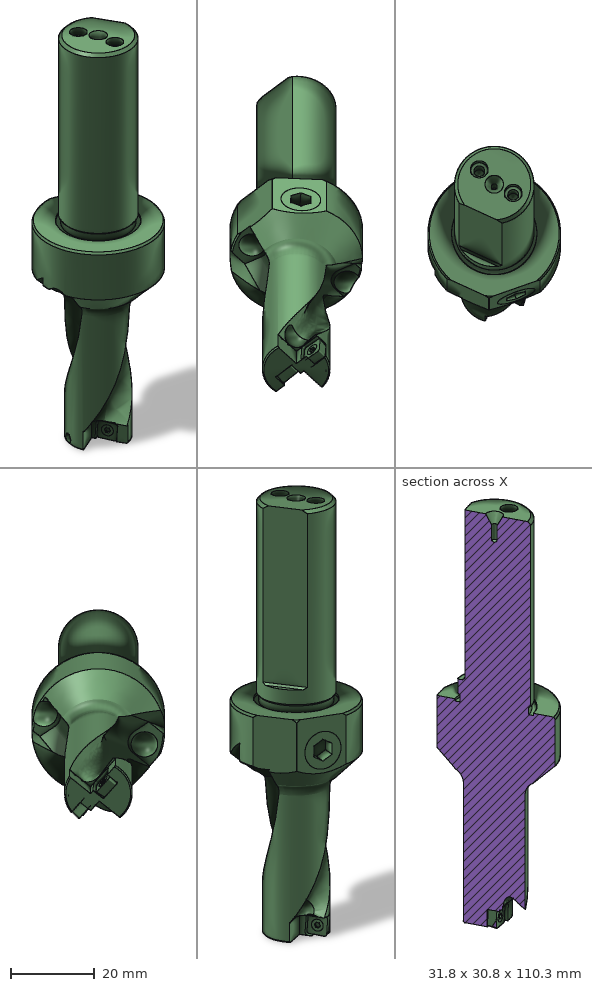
import cadquery as cq
import math

TIP_Z = 0.35
FLUTE_START_Z = 5.5
FLUTE_END_Z = 38.7
CONE_BOTTOM_Z = 40.8
COLLAR_BOTTOM_Z = 46.6
COLLAR_TOP_Z = 59.6
GROOVE_TOP_Z = 61.3
FLAT_BOTTOM_Z = 65.0
RUNOUT_TOP_Z = 46.2
SHANK_TOP_Z = 110.34

DRILL_RADIUS = 8.1
COLLAR_RADIUS = 31.75 / 2
SHANK_RADIUS = 19.05 / 2
GROOVE_RADIUS = 9.0
CONE_FOOT_RADIUS = COLLAR_RADIUS - (COLLAR_BOTTOM_Z - CONE_BOTTOM_Z)
NECK_BLEND_HEIGHT = 3.1
BLEND_MID_WIDTH_SHARE = 0.3
BLEND_MID_HEIGHT_SHARE = 0.6
TIP_CHAMFER = 0.35
SHANK_CHAMFER = 0.8
GROOVE_CHAMFER = 0.5
RECESS_RADIUS = 10.2
RECESS_DEPTH = 0.6
COLLAR_CHAMFER_WIDTH = 0.35
COLLAR_CHAMFER_HEIGHT = 0.65

SHANK_FLAT_Y = 7.65
SHANK_FLAT_RAMP = 0.55
COLLAR_FLAT_Y = 14.875
SLANT_FLAT_OFFSET = 14.5

SEAT_OFFSET = 1.4
OUTER_BACK_OFFSET = 1.3
INNER_BACK_OFFSET = -1.2
FLUTE_CORNER_RADIUS = 3.4
FLUTE_CORNER_ANGLE = 105.0
FLUTE_TWIST = 94.0
TWIST_LINEAR_SHARE = 0.17
TWIST_SECTIONS = 9
FLUTE_BALL_RADIUS = 3.0
FLUTE_BALL_CENTRE = (-3.6, 3.7, 7.6)
RUNOUT_BALL_Z = 45.0
RUNOUT_BALL_X = -4.8
RUNOUT_BALL_REACH = 11.6
RUNOUT_SIDE_X = -9.8
RUNOUT_SIDE_DROP = 1.2
CUTTER_REACH = 20.0

INSERT_SIZE = 5.0
INSERT_THICKNESS = 2.4
INSERT_CORNER_RADIUS = 0.6
POCKET_CLEARANCE = 0.2
INSERT_CLEARANCE_ANGLE = 7.0
INSERT_TILT = 4.0
INSERT_FACE_DEPTH = 0.8
INNER_INSERT = (2.5, 0.0)
OUTER_INSERT = (5.6, TIP_Z)
SCREW_HEAD_RADIUS = 1.5
SCREW_SHANK_RADIUS = 0.9
SCREW_HEAD_HEIGHT = 1.1
SCREW_LENGTH = 4.2
SCREW_SOCKET_SIZE = 1.3
SCREW_SOCKET_DEPTH = 0.6

PLUG_RADIUS = 9.5 / 2
PLUG_LENGTH = 5.0
PLUG_Y = 10.0
PLUG_Z = 51.0
PLUG_HEX_SIZE = 4.76
PLUG_HEX_DEPTH = 3.7

COOLANT_HOLES = [(-5.0, 0.0), (4.8, -1.8)]
COOLANT_BORE_RADIUS = 2.1
COOLANT_BORE_DEPTH = 2.0
COOLANT_PILOT_RADIUS = 1.3
COOLANT_PILOT_DEPTH = 4.0
CENTRE_RADIUS = 2.2
CENTRE_PILOT_RADIUS = 0.7
CENTRE_PILOT_DEPTH = 3.0
SIDE_HOLE_RADIUS = 1.2
SIDE_HOLE_DEPTH = 1.0
SIDE_HOLE_Z = 1.8
DRILL_POINT_SLOPE = math.tan(math.radians(30))

HEX_CORNER_FACTOR = 2 / math.sqrt(3)


def hex_prism(plane, across_flats, depth):
    """Hexagonal prism sunk below the plane."""
    return cq.Workplane(plane).polygon(6, across_flats * HEX_CORNER_FACTOR).extrude(-depth)


def pointed_hole(plane, radius, depth):
    """Drilled hole below the plane with a conical bottom."""
    point_depth = depth + radius * DRILL_POINT_SLOPE
    outline = cq.Workplane("XZ").polyline([(0, 0), (radius, 0), (radius, -depth), (0, -point_depth)])
    return outline.close().revolve(360, (0, 0), (0, 1)).val().moved(plane.location)


def turned_blank():
    blend_bottom_z = CONE_BOTTOM_Z - NECK_BLEND_HEIGHT
    blend_mid = (DRILL_RADIUS + BLEND_MID_WIDTH_SHARE * (CONE_FOOT_RADIUS - DRILL_RADIUS),
                 blend_bottom_z + BLEND_MID_HEIGHT_SHARE * NECK_BLEND_HEIGHT)
    return (
        cq.Workplane("XZ")
        .moveTo(0, TIP_Z)
        .lineTo(DRILL_RADIUS - TIP_CHAMFER, TIP_Z)
        .lineTo(DRILL_RADIUS, TIP_Z + TIP_CHAMFER)
        .lineTo(DRILL_RADIUS, blend_bottom_z)
        .threePointArc(blend_mid, (CONE_FOOT_RADIUS, CONE_BOTTOM_Z))
        .lineTo(COLLAR_RADIUS, COLLAR_BOTTOM_Z)
        .lineTo(COLLAR_RADIUS, COLLAR_TOP_Z - COLLAR_CHAMFER_HEIGHT)
        .lineTo(COLLAR_RADIUS - COLLAR_CHAMFER_WIDTH, COLLAR_TOP_Z)
        .lineTo(RECESS_RADIUS, COLLAR_TOP_Z)
        .lineTo(RECESS_RADIUS, COLLAR_TOP_Z - RECESS_DEPTH)
        .lineTo(GROOVE_RADIUS, COLLAR_TOP_Z - RECESS_DEPTH)
        .lineTo(GROOVE_RADIUS, GROOVE_TOP_Z - GROOVE_CHAMFER)
        .lineTo(SHANK_RADIUS, GROOVE_TOP_Z)
        .lineTo(SHANK_RADIUS, SHANK_TOP_Z - SHANK_CHAMFER)
        .lineTo(SHANK_RADIUS - SHANK_CHAMFER, SHANK_TOP_Z)
        .lineTo(0, SHANK_TOP_Z)
        .close()
        .revolve(360, (0, 0), (0, 1))
    )


def beyond_plane(offset):
    """Block filling y > offset up to the collar top."""
    return (cq.Workplane("XY").moveTo(0, offset + CUTTER_REACH / 2)
            .rect(3 * CUTTER_REACH, CUTTER_REACH).extrude(COLLAR_TOP_Z))


def cut_flats(body):
    shank_flat = (
        cq.Workplane("YZ", origin=(-CUTTER_REACH, 0, 0))
        .moveTo(SHANK_FLAT_Y, SHANK_TOP_Z)
        .lineTo(SHANK_FLAT_Y, FLAT_BOTTOM_Z + SHANK_FLAT_RAMP)
        .lineTo(SHANK_FLAT_Y + SHANK_FLAT_RAMP, FLAT_BOTTOM_Z)
        .lineTo(CUTTER_REACH, FLAT_BOTTOM_Z)
        .lineTo(CUTTER_REACH, SHANK_TOP_Z)
        .close()
        .extrude(2 * CUTTER_REACH)
    )
    collar_flat = beyond_plane(COLLAR_FLAT_Y)
    slant_flat = beyond_plane(SLANT_FLAT_OFFSET).rotate((0, 0, 0), (0, 0, 1), 45)
    return body.cut(shank_flat).cut(collar_flat).cut(slant_flat)


def flute_outline(back):
    """Open quadrant x < -seat, y < -back with a rounded inner corner."""
    centre = (-SEAT_OFFSET - FLUTE_CORNER_RADIUS, -back - FLUTE_CORNER_RADIUS)

    def corner_point(degrees):
        angle = math.radians(degrees)
        return (centre[0] + FLUTE_CORNER_RADIUS * math.cos(angle),
                centre[1] + FLUTE_CORNER_RADIUS * math.sin(angle))

    corner_end = corner_point(FLUTE_CORNER_ANGLE)
    lean = math.tan(math.radians(FLUTE_CORNER_ANGLE - 90))
    back_end_y = corner_end[1] - lean * (CUTTER_REACH + corner_end[0])
    return (
        cq.Workplane("XY")
        .moveTo(-SEAT_OFFSET, -CUTTER_REACH)
        .lineTo(-SEAT_OFFSET, centre[1])
        .threePointArc(corner_point(FLUTE_CORNER_ANGLE / 2), corner_end)
        .lineTo(-CUTTER_REACH, back_end_y)
        .lineTo(-CUTTER_REACH, -CUTTER_REACH)
        .close()
        .wire()
        .val()
    )


def twisted_flute(back):
    """Flute whose twist grows steadily faster towards the tip."""
    wires = []
    for section in range(TWIST_SECTIONS):
        share = section / (TWIST_SECTIONS - 1)
        turn = FLUTE_TWIST * (TWIST_LINEAR_SHARE * share + (1 - TWIST_LINEAR_SHARE) * share ** 2)
        z = FLUTE_END_Z - share * (FLUTE_END_Z - FLUTE_START_Z)
        wires.append(flute_outline(back).rotate((0, 0, 0), (0, 0, 1), -turn).translate((0, 0, z)))
    return cq.Solid.makeLoft(wires)


def ball(radius, x, y, z):
    return cq.Workplane("XY").sphere(radius).translate((x, y, z)).val()


def flute_runout(back):
    """Run-out of the flute along the 45 degree cone, ending in a dome."""
    rise = RUNOUT_TOP_Z - FLUTE_END_Z
    start = flute_outline(back).translate((0, 0, FLUTE_END_Z))
    slope = cq.Solid.makeLoft([start, start.translate((0, -rise, rise))], True)
    dome = ball(FLUTE_CORNER_RADIUS, RUNOUT_BALL_X, -back - RUNOUT_BALL_REACH, RUNOUT_BALL_Z)
    side_wall_y = -back - RUNOUT_SIDE_DROP
    side = (
        cq.Workplane("YZ", origin=(-CUTTER_REACH, 0, 0))
        .moveTo(side_wall_y, FLUTE_END_Z)
        .lineTo(side_wall_y - CUTTER_REACH, FLUTE_END_Z + CUTTER_REACH)
        .lineTo(side_wall_y - CUTTER_REACH, FLUTE_END_Z)
        .close()
        .extrude(CUTTER_REACH + RUNOUT_SIDE_X)
    )
    return [slope, dome, side.val()]


def chip_pocket(back):
    """Square-cornered pocket at the tip, between the seat wall and the back wall."""
    return (cq.Workplane("XY").moveTo(-back, SEAT_OFFSET)
            .rect(-CUTTER_REACH, CUTTER_REACH, centered=False).extrude(FLUTE_START_Z).val())


def flute_cutters(back):
    return [twisted_flute(back), *flute_runout(back), chip_pocket(back)]


def half_turn(shape):
    return shape.rotate((0, 0, 0), (0, 0, 1), 180)


TILT = math.radians(INSERT_TILT)
INSERT_DROP = ((INSERT_SIZE / 2 - INSERT_CORNER_RADIUS) * (math.cos(TILT) + math.sin(TILT))
               + INSERT_CORNER_RADIUS)


def insert_plane(place, depth=0.0):
    """Plane facing +Y, depth below the centre of the insert face, tilted so that one corner is lowest."""
    x, bottom_z = place
    origin = (-x, SEAT_OFFSET - INSERT_FACE_DEPTH - depth, bottom_z + INSERT_DROP)
    return cq.Plane(origin=origin, xDir=(-math.cos(TILT), 0, -math.sin(TILT)), normal=(0, 1, 0))


def insert_outline(plane, margin=0.0):
    size = INSERT_SIZE + 2 * margin
    rounded_square = cq.Sketch().rect(size, size).vertices().fillet(INSERT_CORNER_RADIUS + margin)
    return cq.Workplane(plane).placeSketch(rounded_square)


def screw_blank(place):
    """Countersunk screw without its socket, head flush with the insert face."""
    outline = cq.Workplane("XZ").polyline([
        (0, 0), (SCREW_HEAD_RADIUS, 0), (SCREW_SHANK_RADIUS, -SCREW_HEAD_HEIGHT),
        (SCREW_SHANK_RADIUS, -SCREW_LENGTH), (0, -SCREW_LENGTH)])
    screw = outline.close().revolve(360, (0, 0), (0, 1)).val()
    return screw.moved(insert_plane(place).location)


def insert_screw(place):
    socket = hex_prism(insert_plane(place), SCREW_SOCKET_SIZE, SCREW_SOCKET_DEPTH)
    return cq.Workplane(screw_blank(place)).cut(socket)


def cutting_insert(place):
    plane = insert_plane(place)
    block = insert_outline(plane).extrude(-INSERT_THICKNESS, taper=INSERT_CLEARANCE_ANGLE)
    return block.cut(cq.Workplane(screw_blank(place)))


def insert_pocket(place):
    """Straight-sided clearance pocket from the seat wall down to the underside of the insert."""
    plane = insert_plane(place, INSERT_THICKNESS)
    return insert_outline(plane, POCKET_CLEARANCE).extrude(INSERT_THICKNESS + INSERT_FACE_DEPTH).val()


def plug_plane():
    plug_x = PLUG_Y - SLANT_FLAT_OFFSET * math.sqrt(2)
    return cq.Plane(origin=(plug_x, PLUG_Y, PLUG_Z), xDir=(0, 0, 1), normal=(-1, 1, 0))


def plug_blank():
    return cq.Workplane(plug_plane()).circle(PLUG_RADIUS).extrude(-PLUG_LENGTH)


def coolant_plug():
    return plug_blank().cut(hex_prism(plug_plane(), PLUG_HEX_SIZE, PLUG_HEX_DEPTH))


def cut_end_holes(body):
    """Stepped coolant holes and the centre hole in the top of the shank."""
    top = cq.Workplane("XY", origin=(0, 0, SHANK_TOP_Z))
    for x, y in COOLANT_HOLES:
        bore = top.center(x, y).circle(COOLANT_BORE_RADIUS).extrude(-COOLANT_BORE_DEPTH)
        pilot_plane = cq.Plane(origin=(x, y, SHANK_TOP_Z - COOLANT_BORE_DEPTH))
        pilot = pointed_hole(pilot_plane, COOLANT_PILOT_RADIUS, COOLANT_PILOT_DEPTH)
        body = body.cut(bore).cut(cq.Workplane(pilot))
    cone_depth = CENTRE_RADIUS / DRILL_POINT_SLOPE
    cone = cq.Solid.makeCone(CENTRE_RADIUS, 0, cone_depth, cq.Vector(0, 0, SHANK_TOP_Z), cq.Vector(0, 0, -1))
    pilot_length = cone_depth + CENTRE_PILOT_DEPTH
    pilot = pointed_hole(cq.Plane(origin=(0, 0, SHANK_TOP_Z)), CENTRE_PILOT_RADIUS, pilot_length)
    return body.cut(cq.Workplane(cone)).cut(cq.Workplane(pilot))


def cut_side_hole(body):
    """Shallow radial hole in the drill body near the tip."""
    reach = DRILL_RADIUS * math.sqrt(0.5)
    plane = cq.Plane(origin=(-reach, -reach, SIDE_HOLE_Z), xDir=(0, 0, 1), normal=(-1, -1, 0))
    return body.cut(cq.Workplane(pointed_hole(plane, SIDE_HOLE_RADIUS, SIDE_HOLE_DEPTH)))


def drill_body():
    body = cut_flats(turned_blank())
    outer_cutters = flute_cutters(OUTER_BACK_OFFSET)
    outer_cutters.append(ball(FLUTE_BALL_RADIUS, *FLUTE_BALL_CENTRE))
    inner_cutters = flute_cutters(INNER_BACK_OFFSET)
    outer_cutters += [insert_pocket(OUTER_INSERT), screw_blank(OUTER_INSERT)]
    inner_cutters += [insert_pocket(INNER_INSERT), screw_blank(INNER_INSERT)]
    for cutter in outer_cutters + [half_turn(shape) for shape in inner_cutters]:
        body = body.cut(cq.Workplane(cutter))
    body = cut_side_hole(cut_end_holes(body))
    return body.cut(plug_blank())


body = drill_body()
plug = coolant_plug()
outer_insert = cutting_insert(OUTER_INSERT)
outer_screw = insert_screw(OUTER_INSERT)
inner_insert = half_turn(cutting_insert(INNER_INSERT))
inner_screw = half_turn(insert_screw(INNER_INSERT))

result = cq.Compound.makeCompound([
    body.val(), plug.val(), outer_insert.val(), outer_screw.val(), inner_insert.val(), inner_screw.val()])